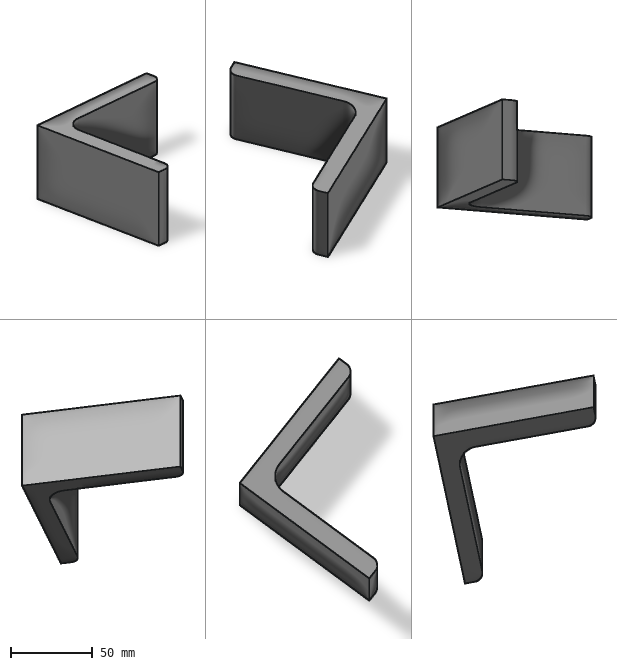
import cadquery as cq

leg_length = 100.0
leg_thickness = 12.0
height = 50.0
root_radius = 12.0
toe_radius = leg_thickness / 2

angle = (
    cq.Workplane("XY")
    .moveTo(0, 0)
    .lineTo(leg_length, 0)
    .lineTo(leg_length, leg_thickness)
    .lineTo(leg_thickness, leg_thickness)
    .lineTo(leg_thickness, leg_length)
    .lineTo(0, leg_length)
    .close()
    .extrude(height)
)


def round_vertical_edge(body, x, y, radius):
    """Fillet the vertical edge standing at (x, y)."""
    edge_middle = (x, y, height / 2)
    return body.edges(cq.selectors.NearestToPointSelector(edge_middle)).fillet(radius)


angle = round_vertical_edge(angle, leg_thickness, leg_thickness, root_radius)
angle = round_vertical_edge(angle, leg_length, leg_thickness, toe_radius)
angle = round_vertical_edge(angle, leg_thickness, leg_length, toe_radius)

result = angle